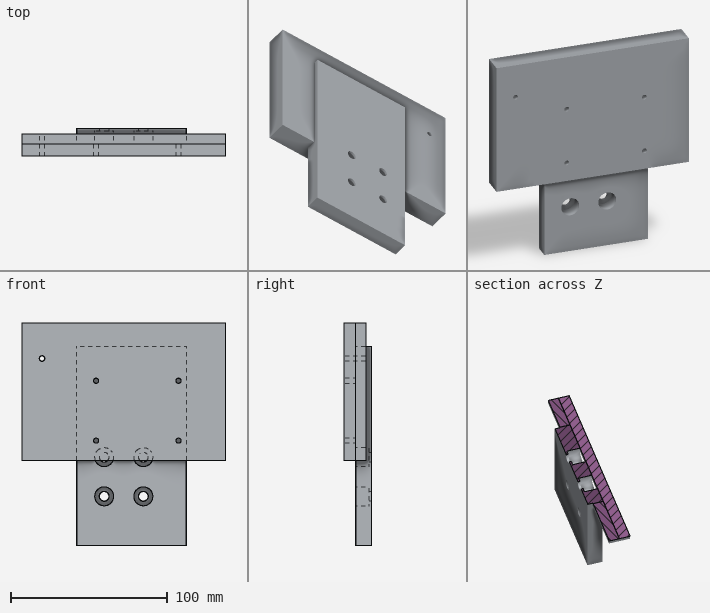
import cadquery as cq

overall_height = 141.9
plate_width = 130.0
plate_height = 87.8
front_thickness = 7.5
rear_thickness = 6.7
plate_bottom = overall_height - plate_height

bracket_left = 34.9
bracket_width = 70.0
bracket_height = 127.0
bracket_proud = 3.4
bracket_thickness = rear_thickness + bracket_proud

small_hole_diameter = 3.3
corner_hole_x = 12.9
corner_hole_z = overall_height - 22.7
screw_left = 47.4
screw_bottom = 66.8
screw_spacing_x = 52.5
screw_spacing_z = 38.2

mount_diameter = 6.1
counterbore_diameter = 12.0
counterbore_depth = 8.5
mount_left = bracket_left + 17.6
mount_bottom = 31.4
mount_spacing = 25.0


def block(left, front, bottom, width, thickness, height):
    """Box placed by its left, front, bottom corner."""
    return cq.Workplane("XY").box(width, thickness, height, centered=False).translate((left, front, bottom))


def drills(points, diameter, front, depth):
    """Cylinders along +Y at the given (x, z) points, starting at the front position."""
    return (
        cq.Workplane("XZ", origin=(0, front, 0))
        .pushPoints(points)
        .circle(diameter / 2)
        .extrude(-depth)
    )


def grid(left, bottom, spacing_x, spacing_z):
    """Four (x, z) points at the corners of a rectangle."""
    return [(left + i * spacing_x, bottom + j * spacing_z) for i in range(2) for j in range(2)]


corner_hole = drills(
    [(corner_hole_x, corner_hole_z)], small_hole_diameter, 0, front_thickness + rear_thickness
)


def make_front_plate():
    """Cover plate with four screw holes and the corner hole."""
    points = grid(screw_left, screw_bottom, screw_spacing_x, screw_spacing_z)
    screw_holes = drills(points, small_hole_diameter, 0, front_thickness)
    plate = block(0, 0, plate_bottom, plate_width, front_thickness, plate_height)
    return plate.cut(screw_holes).cut(corner_hole)


def make_bracket():
    """Flat bracket with four holes counterbored from the front."""
    points = grid(mount_left, mount_bottom, mount_spacing, mount_spacing)
    through_holes = drills(points, mount_diameter, front_thickness, bracket_thickness)
    counterbores = drills(points, counterbore_diameter, front_thickness, counterbore_depth)
    bracket = block(bracket_left, front_thickness, 0, bracket_width, bracket_thickness, bracket_height)
    return bracket.cut(through_holes).cut(counterbores)


def make_rear_plate():
    """Backing plate with the corner hole and a slot, open at the bottom, that fits the bracket."""
    plate = block(0, front_thickness, plate_bottom, plate_width, rear_thickness, plate_height)
    slot = block(bracket_left, front_thickness, 0, bracket_width, rear_thickness, bracket_height)
    return plate.cut(slot).cut(corner_hole)


front_plate = make_front_plate()
rear_plate = make_rear_plate()
bracket = make_bracket()

result = cq.Compound.makeCompound([front_plate.val(), rear_plate.val(), bracket.val()])